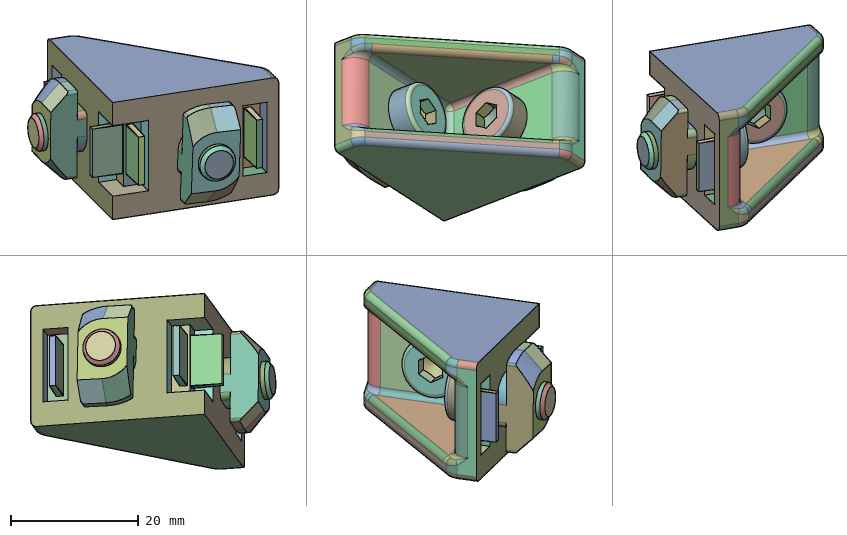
import cadquery as cq
import math


OVERALL = 35.5

LEG = 28.0
WIDTH = 20.0
WALL = 4.5
SIDE_PLATE = 3.0
TIP_RADIUS = 3.0
EDGE_RADIUS = 1.0
SCREW_OFFSET = 15.0
CLEARANCE_DIAMETER = 6.3

RECESS_DEPTH = 3.0
RECESS_WIDTH = 4.0
RECESS_HEIGHT = 12.0
NEAR_RECESS_END = 6.0
TAB_NEAR = 4.1
TAB_FAR = 24.0
TAB_PROJECTION = 2.0
TAB_TIP = (1.0, 8.25)
TAB_DRAFT = 1.5
NEAR_TAB_RISE = 0.2

SCREW_DIAMETER = 6.0
SCREW_TIP_BEVEL = 0.6
SCREW_REACH = OVERALL - LEG
HEAD_DIAMETER = 10.0
HEAD_HEIGHT = 4.0
HEAD_RADIUS = 0.6
SOCKET_FLATS = 4.0
SOCKET_DEPTH = 2.0
SOCKET_CONE_ANGLE = 120
HALF_HEX_STEP = 30

NUT_LENGTH = 15.98
NUT_WIDTH = 8.0
NUT_TOP = 6.15
NECK_HEIGHT = 1.65
NECK_RADIUS = 1.0
NUT_CHAMFER = 3.0
NUT_EDGE_RADIUS = 0.5
FRONT_NUT_TURN = -1.1
RIGHT_NUT_TURN = -2

PICK_MARGIN = 0.35
POCKET_WIDTH = WIDTH - 2 * SIDE_PLATE
SYMMETRY_NORMAL = cq.Vector(1, 1, 0)


def on_both_legs(shape):
    """A shape on the Y = 0 leg together with its mirror image on the X = 0 leg."""
    return shape.add(shape.mirror(SYMMETRY_NORMAL)).combine()


def centred_box(x_min, x_max, y_min, y_max, height):
    """Box between the given X and Y limits, centred on Z = 0."""
    return (
        cq.Workplane("XY")
        .box(x_max - x_min, y_max - y_min, height)
        .translate(((x_min + x_max) / 2, (y_min + y_max) / 2, 0))
    )


def wedge():
    """Triangular block with blunt tips and rounded edges along its slope."""
    block = (
        cq.Workplane("XY")
        .workplane(offset=-WIDTH / 2)
        .polyline([(0, 0), (0, LEG), (-WALL, LEG), (-LEG, WALL), (-LEG, 0)])
        .close()
        .extrude(WIDTH)
    )
    for x, y in [(-LEG, WALL), (-WALL, LEG)]:
        block = block.edges(cq.selectors.NearestToPointSelector((x, y, 0))).fillet(TIP_RADIUS)
    off_mating_faces = cq.selectors.BoxSelector(
        (-LEG - PICK_MARGIN, PICK_MARGIN, -WIDTH),
        (-PICK_MARGIN, LEG + PICK_MARGIN, WIDTH),
    )
    return block.faces("<Z or >Z").edges(off_mating_faces).fillet(EDGE_RADIUS)


def pocket():
    """Space between the side plates, with rounded floor edges and quarter-round lips."""
    lip = TIP_RADIUS * math.sqrt(0.5)
    lip_centre = (-LEG + TIP_RADIUS, WALL - TIP_RADIUS)
    lip_middle = (lip_centre[0] - lip, lip_centre[1] + lip)
    outside = 1.5 * LEG
    space = (
        cq.Workplane("XY")
        .workplane(offset=-POCKET_WIDTH / 2)
        .moveTo(-LEG, WALL - TIP_RADIUS)
        .threePointArc(lip_middle, (-LEG + TIP_RADIUS, WALL))
        .lineTo(-WALL, WALL)
        .lineTo(-WALL, LEG - TIP_RADIUS)
        .threePointArc((-lip_middle[1], -lip_middle[0]), (-WALL + TIP_RADIUS, LEG))
        .lineTo(-WALL + TIP_RADIUS, outside)
        .lineTo(-outside, outside)
        .lineTo(-outside, WALL - TIP_RADIUS)
        .close()
        .extrude(POCKET_WIDTH)
    )
    floor = cq.selectors.BoxSelector((-LEG + PICK_MARGIN, 0, -WIDTH), (0, LEG - PICK_MARGIN, WIDTH))
    return space.edges(floor).fillet(EDGE_RADIUS)


def recesses():
    """Hollows around the tabs of one leg; the near one breaks out through the bracket corner."""
    half = RECESS_WIDTH / 2
    far = centred_box(-TAB_FAR - half, -TAB_FAR + half, 0, RECESS_DEPTH, RECESS_HEIGHT)
    near = centred_box(-NEAR_RECESS_END, 0, 0, RECESS_DEPTH, RECESS_HEIGHT)
    return far.add(near).combine()


def tab(distance, rise):
    """Tapered tab of the Y = 0 leg, growing wider from its tip to the recess floor."""
    tip_plane = cq.Plane(origin=(-distance, -TAB_PROJECTION, rise), xDir=(1, 0, 0), normal=(0, 1, 0))
    return cq.Workplane(tip_plane).rect(*TAB_TIP).extrude(TAB_PROJECTION + RECESS_DEPTH, taper=-TAB_DRAFT)


def screw_hole():
    """Clearance hole through the Y = 0 wall."""
    return (
        cq.Workplane("XZ")
        .center(-SCREW_OFFSET, 0)
        .circle(CLEARANCE_DIAMETER / 2)
        .extrude(-WALL)
    )


def make_bracket():
    """Hollow wedge with rounded pocket rims, recesses, screw holes and locating tabs."""
    body = wedge().cut(pocket())
    rim_height = POCKET_WIDTH / 2 + PICK_MARGIN
    rim = cq.selectors.BoxSelector((-LEG, 0, -rim_height), (0, LEG, rim_height))
    body = body.edges("|(1,1,0)").edges(rim).fillet(EDGE_RADIUS)
    body = body.cut(on_both_legs(recesses().add(screw_hole())))
    tabs = tab(TAB_FAR, 0).add(tab(TAB_NEAR, NEAR_TAB_RISE))
    return body.union(on_both_legs(tabs))


def make_screw():
    """Socket-head screw with a bevelled tip."""
    shank = (
        cq.Workplane("XY")
        .workplane(offset=-WALL)
        .circle(SCREW_DIAMETER / 2)
        .extrude(WALL + SCREW_REACH)
        .faces(">Z")
        .chamfer(SCREW_TIP_BEVEL)
    )
    head = (
        cq.Workplane("XY")
        .workplane(offset=-WALL)
        .circle(HEAD_DIAMETER / 2)
        .extrude(-HEAD_HEIGHT)
        .faces("<Z")
        .edges()
        .fillet(HEAD_RADIUS)
    )
    return shank.union(head).cut(hex_socket())


def hex_socket():
    """Hexagonal socket that ends in a drill cone."""
    head_top = -WALL - HEAD_HEIGHT
    corner_radius = SOCKET_FLATS / math.sqrt(3)
    cone_height = corner_radius / math.tan(math.radians(SOCKET_CONE_ANGLE / 2))
    hexagon = (
        cq.Workplane("XY")
        .workplane(offset=head_top)
        .polygon(6, 2 * corner_radius)
        .extrude(SOCKET_DEPTH + cone_height)
        .rotate((0, 0, 0), (0, 0, 1), HALF_HEX_STEP)
    )
    drill = (
        cq.Workplane("XZ")
        .polyline([
            (0, head_top),
            (corner_radius, head_top),
            (corner_radius, head_top + SOCKET_DEPTH),
            (0, head_top + SOCKET_DEPTH + cone_height),
        ])
        .close()
        .revolve(360, (0, 0, 0), (0, 1, 0))
    )
    return hexagon.intersect(drill)


def turning_block(width, length, bottom, top):
    """Block with two opposite corners rounded about the screw axis, so that it can turn in a slot."""
    x, y = width / 2, length / 2
    arc_end = math.sqrt(y ** 2 - x ** 2)
    middle_angle = (math.pi / 2 + math.atan2(arc_end, x)) / 2
    arc_middle = (y * math.cos(middle_angle), y * math.sin(middle_angle))
    return (
        cq.Workplane("XY")
        .workplane(offset=bottom)
        .moveTo(0, y)
        .lineTo(x, y)
        .lineTo(x, -arc_end)
        .threePointArc((arc_middle[0], -arc_middle[1]), (0, -y))
        .lineTo(-x, -y)
        .lineTo(-x, arc_end)
        .threePointArc((-arc_middle[0], arc_middle[1]), (0, y))
        .close()
        .extrude(top - bottom)
    )


def nut_envelope():
    """Bevels of the nut ends: flat towards the square corners, conical towards the round ones."""
    half = NUT_LENGTH / 2
    height = NUT_TOP - NECK_HEIGHT
    base = cq.Workplane("XY").workplane(offset=NECK_HEIGHT)
    flat = base.rect(NUT_LENGTH, NUT_LENGTH).extrude(height).faces(">Z").edges("|X").chamfer(NUT_CHAMFER)
    conical = base.circle(half).extrude(height).faces(">Z").chamfer(NUT_CHAMFER)
    quarter = base.rect(half, half, centered=False).extrude(height)
    square_quarters = quarter.add(quarter.rotate((0, 0, 0), (0, 0, 1), 180)).combine()
    round_quarters = square_quarters.rotate((0, 0, 0), (0, 0, 1), 90)
    return flat.intersect(square_quarters).union(conical.intersect(round_quarters))


def make_nut():
    """T-slot nut: a square neck against the bracket and a long bevelled head."""
    neck = turning_block(NUT_WIDTH, NUT_WIDTH, 0, NECK_HEIGHT)
    neck = neck.edges("|Z").edges(">(1,1,0) or <(1,1,0)").fillet(NECK_RADIUS)
    head = turning_block(NUT_WIDTH, NUT_LENGTH, NECK_HEIGHT, NUT_TOP)
    head = head.edges("|Z").edges(">X or <X").fillet(NUT_EDGE_RADIUS)
    nut = neck.union(head.intersect(nut_envelope()))
    thread = cq.Workplane("XY").circle(SCREW_DIAMETER / 2).extrude(NUT_TOP)
    return nut.cut(thread)


front_seat = cq.Plane(origin=(-SCREW_OFFSET, 0, 0), xDir=(1, 0, 0), normal=(0, -1, 0))
right_seat = cq.Plane(origin=(0, SCREW_OFFSET, 0), xDir=(0, 1, 0), normal=(1, 0, 0))

bracket = make_bracket()
screws = []
nuts = []
for seat, turn in [(front_seat, FRONT_NUT_TURN), (right_seat, RIGHT_NUT_TURN)]:
    turned_nut = make_nut().rotate((0, 0, 0), (0, 0, 1), turn)
    screws.append(make_screw().solids().val().moved(seat.location))
    nuts.append(turned_nut.solids().val().moved(seat.location))

result = cq.Compound.makeCompound([bracket.solids().val(), *screws, *nuts])